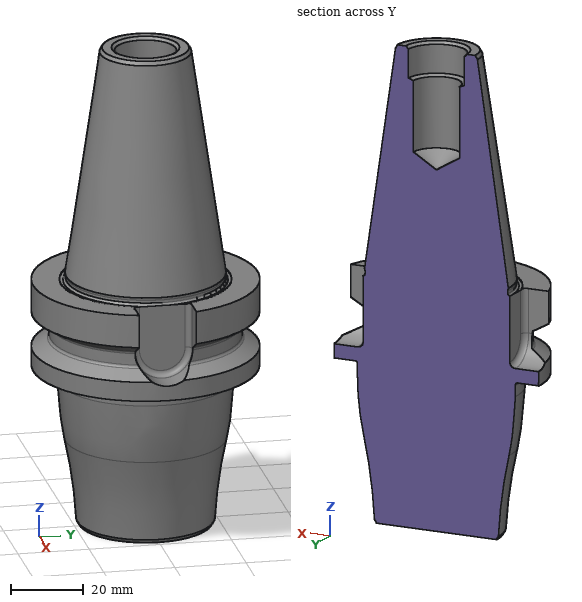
import cadquery as cq
import math

total_height = 137.9
nose_waist_height = 24.8
nose_arc_top = 41.9
flange_bottom = 45.6
flange_top = 70.6
neck_top = 71.8
taper_bottom = 72.5

nose_end_radius = 19.2
nose_chamfer_width = 0.7
nose_chamfer_height = 1.1
nose_waist_radius = 22.5
nose_top_radius = 24.4
nose_fillet = 0.5

flange_diameter = 63.0
flange_radius = flange_diameter / 2
groove_root_radius = 26.6
groove_lower_edge = 51.2
groove_upper_edge = 61.2
groove_wall_angle = 30.0
groove_fillet = 1.0
groove_wall_rise = (flange_radius - groove_root_radius) * math.tan(math.radians(groove_wall_angle))

taper_base_radius = 22.2
taper_end_radius = 12.7
taper_end_chamfer_width = 0.7
taper_end_chamfer_height = 1.1
neck_radius = 22.0
neck_fillet = 0.7
relief_radius = 23.7
relief_depth = 0.3
relief_floor = flange_top - relief_depth

slot_width = 16.1
slot_floor = 22.6
slot_arc_center = 57.9
slot_floor_fillet = 1.7

bore_radius = 8.5
bore_depth = 9.1
bore_chamfer = 0.8
pilot_radius = 7.0
pilot_depth = 30.0
bore_step_height = 0.5
drill_point_angle = 118.0


def arc_between(start, end, start_angle):
    """Midpoint of the arc from start to end that leaves start at start_angle (radians)."""
    dx = end[0] - start[0]
    dz = end[1] - start[1]
    chord = math.hypot(dx, dz)
    turn = math.atan2(dz, dx) - start_angle
    sagitta = chord / 2 * math.tan(turn / 2)
    middle_x = (start[0] + end[0]) / 2 + sagitta * dz / chord
    middle_z = (start[1] + end[1]) / 2 - sagitta * dx / chord
    return (middle_x, middle_z)


def make_nose():
    """Solid nose: a convex upper arc runs tangentially into a concave lower arc."""
    top = (nose_top_radius, nose_arc_top)
    waist = (nose_waist_radius, nose_waist_height)
    end = (nose_end_radius, nose_chamfer_height)
    straight_down = -math.pi / 2
    upper_chord_angle = math.atan2(waist[1] - top[1], waist[0] - top[0])
    waist_angle = 2 * upper_chord_angle - straight_down
    return (
        cq.Workplane("XZ")
        .moveTo(0, 0)
        .lineTo(0, flange_bottom)
        .lineTo(nose_top_radius + nose_fillet, flange_bottom)
        .radiusArc((nose_top_radius, flange_bottom - nose_fillet), -nose_fillet)
        .lineTo(*top)
        .threePointArc(arc_between(top, waist, straight_down), waist)
        .threePointArc(arc_between(waist, end, waist_angle), end)
        .lineTo(nose_end_radius - nose_chamfer_width, 0)
        .close()
        .revolve(360, (0, 0, 0), (0, 1, 0))
    )


def make_flange():
    """Flange disc with the gripper groove turned around it and a shallow relief in its top face."""
    disc = (
        cq.Workplane("XY")
        .workplane(offset=flange_bottom)
        .circle(flange_radius)
        .extrude(flange_top - flange_bottom)
    )
    root_bottom = groove_lower_edge + groove_wall_rise
    root_top = groove_upper_edge - groove_wall_rise
    groove = (
        cq.Workplane("XZ")
        .moveTo(flange_radius, groove_lower_edge)
        .lineTo(groove_root_radius, root_bottom)
        .lineTo(groove_root_radius, root_top)
        .lineTo(flange_radius, groove_upper_edge)
        .close()
        .revolve(360, (0, 0, 0), (0, 1, 0))
    )
    root_edges = cq.selectors.RadiusNthSelector(0)
    face_relief = (
        cq.Workplane("XY")
        .workplane(offset=relief_floor)
        .circle(relief_radius)
        .extrude(relief_depth)
    )
    return disc.cut(groove.edges(root_edges).fillet(groove_fillet)).cut(face_relief)


def make_shank():
    """Tapered shank standing on a filleted neck."""
    fillet_top = relief_floor + neck_fillet
    return (
        cq.Workplane("XZ")
        .moveTo(0, relief_floor)
        .lineTo(neck_radius + neck_fillet, relief_floor)
        .radiusArc((neck_radius, fillet_top), neck_fillet)
        .lineTo(neck_radius, neck_top)
        .lineTo(taper_base_radius, taper_bottom)
        .lineTo(taper_end_radius, total_height - taper_end_chamfer_height)
        .lineTo(taper_end_radius - taper_end_chamfer_width, total_height)
        .lineTo(0, total_height)
        .close()
        .revolve(360, (0, 0, 0), (0, 1, 0))
    )


def make_slot():
    """Round-ended drive slot cutter on the +X side, rounded along its floor."""
    half_width = slot_width / 2
    cutter = (
        cq.Workplane("YZ")
        .workplane(offset=slot_floor)
        .moveTo(-half_width, flange_top)
        .lineTo(-half_width, slot_arc_center)
        .threePointArc((0, slot_arc_center - half_width), (half_width, slot_arc_center))
        .lineTo(half_width, flange_top)
        .close()
        .extrude(flange_radius)
    )
    floor_edges = cutter.faces("<X").edges("not >Z")
    return floor_edges.fillet(slot_floor_fillet)


def make_bore():
    """Chamfered counterbore, conical step and pilot hole with a drill point."""
    step_top = total_height - bore_depth
    pilot_bottom = total_height - pilot_depth
    point_length = pilot_radius / math.tan(math.radians(drill_point_angle / 2))
    return (
        cq.Workplane("XZ")
        .moveTo(0, total_height)
        .lineTo(bore_radius + bore_chamfer, total_height)
        .lineTo(bore_radius, total_height - bore_chamfer)
        .lineTo(bore_radius, step_top)
        .lineTo(pilot_radius, step_top - bore_step_height)
        .lineTo(pilot_radius, pilot_bottom)
        .lineTo(0, pilot_bottom - point_length)
        .close()
        .revolve(360, (0, 0, 0), (0, 1, 0))
    )


result = make_nose().union(make_flange()).union(make_shank()).cut(make_bore())
for slot_angle in (0, 180):
    result = result.cut(make_slot().rotate((0, 0, 0), (0, 0, 1), slot_angle))